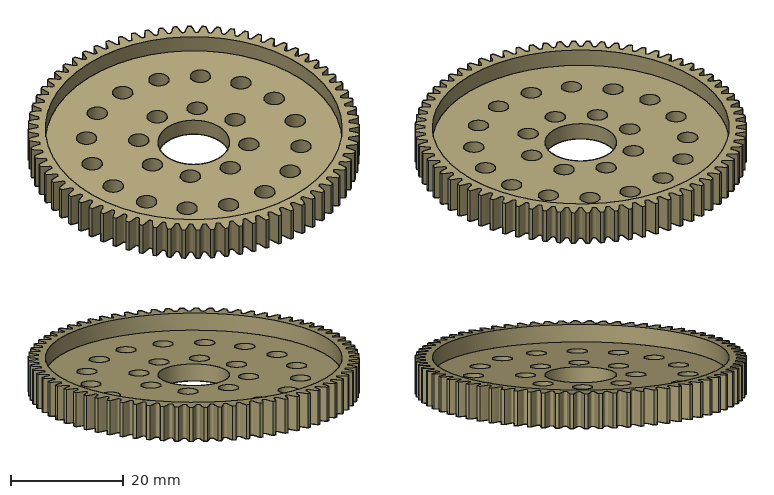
import cadquery as cq
import math

TOOTH_COUNT = 72
TIP_DIAMETER = 58.75
MODULE = TIP_DIAMETER / (TOOTH_COUNT + 2)
PRESSURE_ANGLE = math.radians(20)
DEDENDUM = 1.25 * MODULE
ROOT_FILLET_RADIUS = 0.35

TIP_RADIUS = TIP_DIAMETER / 2
PITCH_RADIUS = MODULE * TOOTH_COUNT / 2
BASE_RADIUS = PITCH_RADIUS * math.cos(PRESSURE_ANGLE)
ROOT_RADIUS = PITCH_RADIUS - DEDENDUM
TOOTH_STEP = 2 * math.pi / TOOTH_COUNT

WIDTH = 6.35
WEB_THICKNESS = WIDTH / 2
RECESS_DIAMETER = 52.65

BORE_DIAMETER = 12.7
BOLT_HOLE_DIAMETER = 3.6
INNER_CIRCLE_DIAMETER = 19.55
INNER_HOLE_COUNT = 8
OUTER_CIRCLE_DIAMETER = 38.05
OUTER_HOLE_COUNT = 16


def involute(angle):
    return math.tan(angle) - angle


def half_tooth_angle(radius):
    """Angle between the tooth's centre line and its involute flank at a radius."""
    flank_angle = math.acos(BASE_RADIUS / radius)
    return TOOTH_STEP / 4 + involute(PRESSURE_ANGLE) - involute(flank_angle)


def polar(radius, angle):
    return (radius * math.cos(angle), radius * math.sin(angle))


def is_root_edge(edge):
    centre = edge.Center()
    return math.hypot(centre.x, centre.y) < (ROOT_RADIUS + PITCH_RADIUS) / 2


def gear_blank():
    """Toothed disc; each flank is an arc through three points of the involute."""
    half_root = half_tooth_angle(ROOT_RADIUS)
    half_pitch = half_tooth_angle(PITCH_RADIUS)
    half_tip = half_tooth_angle(TIP_RADIUS)

    outline = cq.Workplane("XY").moveTo(*polar(ROOT_RADIUS, -half_root))
    for tooth in range(TOOTH_COUNT):
        centre = tooth * TOOTH_STEP
        outline = outline.threePointArc(
            polar(PITCH_RADIUS, centre - half_pitch), polar(TIP_RADIUS, centre - half_tip)
        )
        outline = outline.threePointArc(
            polar(TIP_RADIUS, centre), polar(TIP_RADIUS, centre + half_tip)
        )
        outline = outline.threePointArc(
            polar(PITCH_RADIUS, centre + half_pitch), polar(ROOT_RADIUS, centre + half_root)
        )
        outline = outline.threePointArc(
            polar(ROOT_RADIUS, centre + TOOTH_STEP / 2),
            polar(ROOT_RADIUS, centre + TOOTH_STEP - half_root),
        )
    sharp_gear = outline.close().extrude(WIDTH)
    return sharp_gear.edges("|Z").filter(is_root_edge).fillet(ROOT_FILLET_RADIUS)


def recess():
    """Round pocket that leaves a rim around the web, open at the top."""
    depth = WIDTH - WEB_THICKNESS
    return cq.Workplane("XY").workplane(offset=WEB_THICKNESS).circle(RECESS_DIAMETER / 2).extrude(depth)


def bore():
    return cq.Workplane("XY").circle(BORE_DIAMETER / 2).extrude(WEB_THICKNESS)


def bolt_circle(circle_diameter, hole_count):
    """Ring of evenly spaced bolt holes, the first one on the X axis."""
    return (
        cq.Workplane("XY")
        .polarArray(circle_diameter / 2, 0, 360, hole_count)
        .circle(BOLT_HOLE_DIAMETER / 2)
        .extrude(WEB_THICKNESS)
    )


result = (
    gear_blank()
    .cut(recess())
    .cut(bore())
    .cut(bolt_circle(INNER_CIRCLE_DIAMETER, INNER_HOLE_COUNT))
    .cut(bolt_circle(OUTER_CIRCLE_DIAMETER, OUTER_HOLE_COUNT))
)